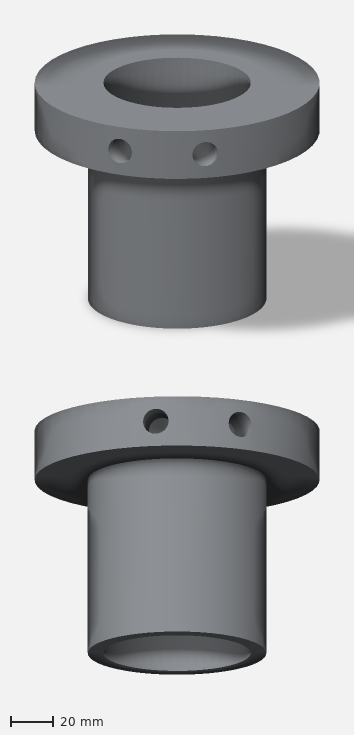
import cadquery as cq
import math

flange_diameter = 135.5
total_height = 109.0
flange_thickness = 24.1
tube_diameter = 85.0
bore_diameter = 70.0

rim_hole_diameter = 12.2
rim_hole_depth = 18.3
drill_tip_angle = 118.0
rim_hole_azimuths = (-80.0, -45.0)
drill_clearance = 1.4

flange_radius = flange_diameter / 2
tube_radius = tube_diameter / 2
bore_radius = bore_diameter / 2
flange_base = total_height - flange_thickness
rim_hole_height = flange_base + flange_thickness / 2


def make_sleeve_blank():
    """Flanged sleeve without rim holes, revolved about Z from its half section."""
    half_section = (
        cq.Workplane("XZ")
        .moveTo(bore_radius, 0)
        .lineTo(tube_radius, 0)
        .lineTo(tube_radius, flange_base)
        .lineTo(flange_radius, flange_base)
        .lineTo(flange_radius, total_height)
        .lineTo(bore_radius, total_height)
        .close()
    )
    sleeve = half_section.revolve(360, (0, 0, 0), (0, 1, 0))
    return sleeve.rotate((0, 0, 0), (0, 0, 1), -90)


def make_rim_drill(azimuth):
    """Radial drill with a conical tip, reaching into the rim of the flange."""
    drill_radius = rim_hole_diameter / 2
    tip_length = drill_radius / math.tan(math.radians(drill_tip_angle / 2))
    shoulder_x = flange_radius - rim_hole_depth
    end_x = flange_radius + drill_clearance
    drill = (
        cq.Workplane("XZ")
        .moveTo(shoulder_x - tip_length, 0)
        .lineTo(shoulder_x, drill_radius)
        .lineTo(end_x, drill_radius)
        .lineTo(end_x, 0)
        .close()
        .revolve(360, (0, 0, 0), (1, 0, 0))
    )
    return drill.rotate((0, 0, 0), (0, 0, 1), azimuth).translate((0, 0, rim_hole_height))


def make_flanged_sleeve():
    """Flanged sleeve with the blind holes drilled into its rim."""
    sleeve = make_sleeve_blank()
    for azimuth in rim_hole_azimuths:
        sleeve = sleeve.cut(make_rim_drill(azimuth))
    return sleeve


flanged_sleeve = make_flanged_sleeve()

result = cq.Compound.makeCompound([flanged_sleeve.val()])